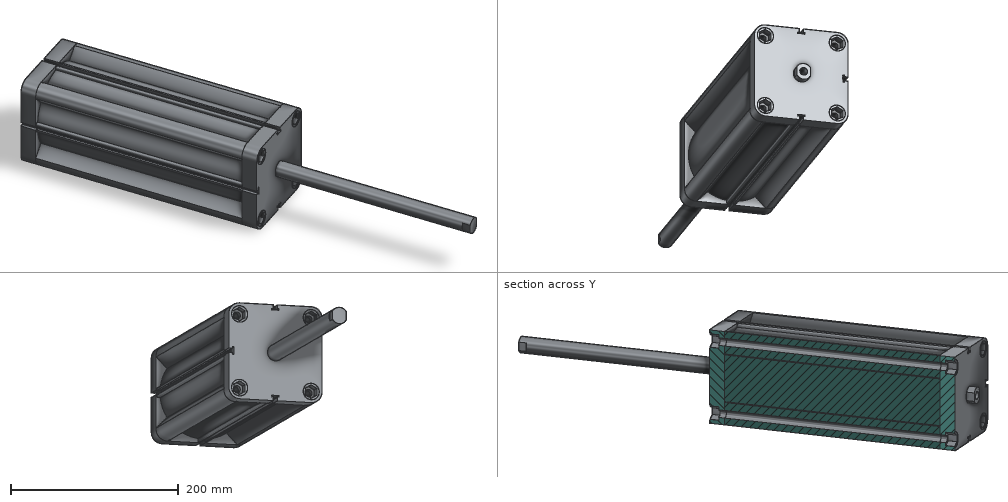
import cadquery as cq
import math


total_length = 587.0
rod_stub = 10.0
plate_thickness = 20.0
tube_length = 276.5
left_plate_x = rod_stub
tube_x = left_plate_x + plate_thickness
right_plate_x = tube_x + tube_length

plate_side = 116.0
half_side = plate_side / 2
corner_radius = 13.5

barrel_radius = 53.5
corner_centre = half_side - corner_radius
web_width = 21.0
rail_width = 12.5
rail_top = 57.0
rail_edge_radius = 2.0
rail_directions = (90, 180, 270)

slot_width = 5.0
undercut_width = 9.0
slot_floor = 51.5
undercut_top = 53.5

bolt_offset = corner_centre
bolt_hole_diameter = 9.0
recess_diameter = 20.0
recess_depth = 0.5
socket_across_flats = 14.0
socket_depth = 12.0

rod_diameter = 20.0
wrench_flat_width = 17.0
wrench_flat_length = 10.0
centre_hole_diameter = 9.5
centre_hole_depth = 20.0
drill_point_angle = 118.0


def yz_plane(x):
    """Sketch plane across the cylinder axis at the given X."""
    return cq.Workplane("YZ", origin=(x, 0, 0))


def turned(shape, angle):
    """Copy of a shape turned about the cylinder axis."""
    return shape.rotate((0, 0, 0), (1, 0, 0), angle)


def bore(diameter, x, length):
    """Cylinder along the cylinder axis."""
    return yz_plane(x).circle(diameter / 2).extrude(length)


def bolt_pattern(x):
    """Workplane across the axis with a point on each corner bolt."""
    pitch = 2 * bolt_offset
    return yz_plane(x).rect(pitch, pitch, forConstruction=True).vertices()


def corner_bores(diameter, x, length):
    """Four cylinders along X on the bolt pattern."""
    return bolt_pattern(x).circle(diameter / 2).extrude(length)


def corner_sockets(x, length):
    """Four hexagonal prisms along X on the bolt pattern, with two corners on the Z direction."""
    socket_across_corners = socket_across_flats * 2 / math.sqrt(3)
    prisms = bolt_pattern(x).polygon(6, socket_across_corners).extrude(length)
    return turned(prisms, 90)


def t_slots(x, length):
    """T-shaped slot cutters for the three grooved sides."""
    opening_depth = half_side - slot_floor
    opening = yz_plane(x).center(slot_floor + opening_depth / 2, 0).rect(opening_depth, slot_width).extrude(length)
    undercut_depth = undercut_top - slot_floor
    undercut = (
        yz_plane(x)
        .center(slot_floor + undercut_depth / 2, 0)
        .rect(undercut_depth, undercut_width)
        .extrude(length)
    )
    cutter = opening.union(undercut)
    slots = cq.Workplane("YZ")
    for angle in rail_directions:
        slots = slots.union(turned(cutter, angle))
    return slots


def make_plate(inner_x, outward):
    """End plate from its inner face at inner_x, extending in the outward (+1 or -1) X direction."""
    thickness = outward * plate_thickness
    outer_x = inner_x + thickness
    plate = yz_plane(inner_x).rect(plate_side, plate_side).extrude(thickness)
    plate = plate.edges("|X").fillet(corner_radius)
    plate = plate.cut(t_slots(min(inner_x, outer_x), plate_thickness))
    plate = plate.cut(bore(rod_diameter, inner_x, thickness))
    plate = plate.cut(corner_bores(bolt_hole_diameter, inner_x, thickness))
    plate = plate.cut(corner_sockets(outer_x, -outward * socket_depth))
    return plate.cut(corner_bores(recess_diameter, outer_x, -outward * recess_depth))


def corner_web():
    """Flat-sided web along +Y whose outer end is rounded like the plate corners."""
    half_width = web_width / 2
    centre = corner_centre * math.sqrt(2)
    shoulder = centre + math.sqrt(corner_radius**2 - half_width**2)
    return (
        yz_plane(tube_x)
        .moveTo(0, -half_width)
        .lineTo(shoulder, -half_width)
        .threePointArc((centre + corner_radius, 0), (shoulder, half_width))
        .lineTo(0, half_width)
        .close()
        .extrude(tube_length)
    )


def slot_rail():
    """Rail along +Y with rounded outer edges."""
    rail = yz_plane(tube_x).center(rail_top / 2, 0).rect(rail_top, rail_width).extrude(tube_length)
    return rail.faces(">Y").edges("|X").fillet(rail_edge_radius)


def make_tube():
    """Profiled tube between the end plates."""
    tube = bore(2 * barrel_radius, tube_x, tube_length)
    for corner in range(4):
        tube = tube.union(turned(corner_web(), 45 + 90 * corner))
    for angle in rail_directions:
        tube = tube.union(turned(slot_rail(), angle))
    tube = tube.cut(t_slots(tube_x, tube_length))
    tube = tube.cut(bore(rod_diameter, tube_x, tube_length))
    return tube.cut(corner_bores(bolt_hole_diameter, tube_x, tube_length))


def wrench_flats(x):
    """Cutter for a pair of flats on the -Y and +Y sides of the rod, starting at x."""
    band = cq.Workplane("XY").box(
        wrench_flat_length, rod_diameter, rod_diameter, centered=(False, True, True)
    )
    core = cq.Workplane("XY").box(
        wrench_flat_length, wrench_flat_width, rod_diameter, centered=(False, True, True)
    )
    return band.cut(core).translate((x, 0, 0))


def centre_hole():
    """Blind drilled hole with a conical bottom in the left rod end."""
    radius = centre_hole_diameter / 2
    point_length = radius / math.tan(math.radians(drill_point_angle / 2))
    return (
        cq.Workplane("XY")
        .polyline([(0, 0), (0, radius), (centre_hole_depth, radius), (centre_hole_depth + point_length, 0)])
        .close()
        .revolve(360, (0, 0, 0), (1, 0, 0))
    )


def make_rod():
    """Through rod with wrench flats at both ends."""
    rod = bore(rod_diameter, 0, total_length)
    for x in (0, total_length - wrench_flat_length):
        rod = rod.cut(wrench_flats(x))
    return rod.cut(centre_hole())


left_plate = make_plate(tube_x, -1)
right_plate = make_plate(right_plate_x, 1)
tube = make_tube()
rod = make_rod()

result = cq.Compound.makeCompound([left_plate.val(), right_plate.val(), tube.val(), rod.val()])